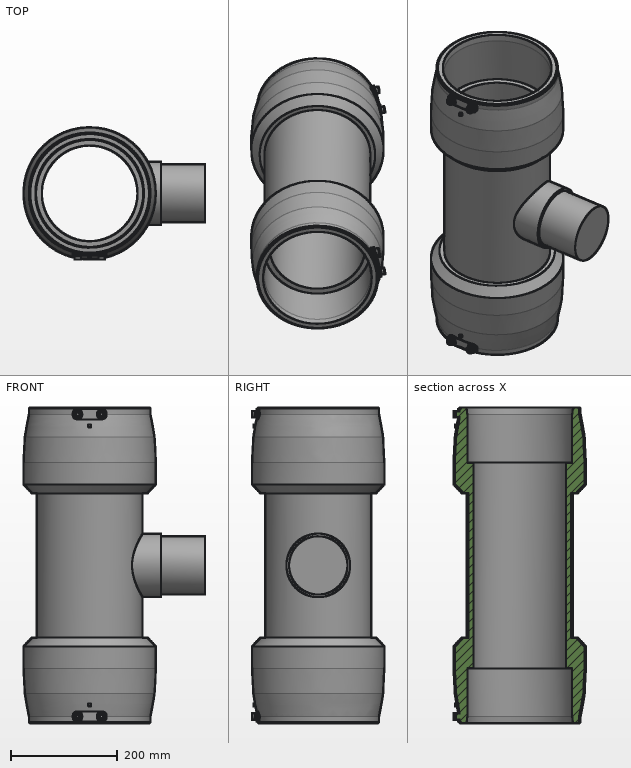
import cadquery as cq

total_height = 596.0
half_height = total_height / 2

pipe_radius = 100.0
pipe_bore_radius = 90.0

socket_max_radius = 125.0
mouth_radius = 114.8
rim_radius = 112.0
shoulder_radius = 122.6
neck_radius = 109.0
rim_chamfer_depth = 2.5
mouth_depth = 13.0
shoulder_depth = 56.0
curve_bulge = 0.25
barrel_start_depth = 104.0
barrel_end_depth = 145.0
socket_depth = 162.0

bore_mouth_radius = 102.6
bore_radius = 101.0
bore_taper_depth = 13.0
bore_depth = 104.0

collar_radius = 60.0
collar_end = 135.0
spigot_radius = 55.0
spigot_end = 217.6

terminal_depth = 13.0
terminal_spacing = 45.0
pad_radius = 9.5
pad_face = 116.8
recess_radius = 8.6
recess_floor = 114.0
neck_pin_radius = 5.75
head_radius = 6.25
head_start = 119.0
head_end = 124.75
head_hole_radius = 3.5
head_hole_depth = 4.0

indicator_depth = 35.0
indicator_radius = 3.0
indicator_end = 122.0

root_radius = 107.0


def arc_mid(start, end, sagitta):
    """Point halfway along a shallow arc, bulged outward in radius."""
    return ((start[0] + end[0]) / 2 + sagitta, (start[1] + end[1]) / 2)


def make_socket_body():
    """Outer shape of the upper socket, as a solid of revolution."""
    mouth = (mouth_radius, half_height - mouth_depth)
    shoulder = (shoulder_radius, half_height - shoulder_depth)
    barrel = (socket_max_radius, half_height - barrel_start_depth)
    return (
        cq.Workplane("XZ")
        .moveTo(0, half_height)
        .lineTo(rim_radius, half_height)
        .lineTo(mouth_radius, half_height - rim_chamfer_depth)
        .lineTo(*mouth)
        .threePointArc(arc_mid(mouth, shoulder, curve_bulge), shoulder)
        .threePointArc(arc_mid(shoulder, barrel, curve_bulge), barrel)
        .lineTo(socket_max_radius, half_height - barrel_end_depth)
        .lineTo(neck_radius, half_height - socket_depth)
        .lineTo(0, half_height - socket_depth)
        .close()
        .revolve(360, (0, 0), (0, 1))
    )


def make_socket_bore():
    """Tapered mouth and straight bore that receive the pipe end."""
    return (
        cq.Workplane("XZ")
        .moveTo(0, half_height)
        .lineTo(bore_mouth_radius, half_height)
        .lineTo(bore_radius, half_height - bore_taper_depth)
        .lineTo(bore_radius, half_height - bore_depth)
        .lineTo(0, half_height - bore_depth)
        .close()
        .revolve(360, (0, 0), (0, 1))
    )


def pin_along_minus_y(x, z, radius, start, end):
    """Round pin pointing toward -Y, between two distances from the Z axis."""
    return cq.Workplane("XZ", origin=(x, -start, z)).circle(radius).extrude(end - start)


def add_terminals(socket):
    """Add the flat pad with two recessed connector pins, and the indicator pin beside it."""
    z = half_height - terminal_depth
    pad = (
        cq.Workplane("XZ", origin=(0, -root_radius, z))
        .slot2D(terminal_spacing + 2 * pad_radius, 2 * pad_radius)
        .extrude(pad_face - root_radius)
    )
    socket = socket.union(pad)
    for x in (-terminal_spacing / 2, terminal_spacing / 2):
        recess = pin_along_minus_y(x, z, recess_radius, recess_floor, head_end)
        neck_pin = pin_along_minus_y(x, z, neck_pin_radius, root_radius, head_end)
        head = pin_along_minus_y(x, z, head_radius, head_start, head_end)
        head_hole = pin_along_minus_y(x, z, head_hole_radius, head_end - head_hole_depth, head_end)
        socket = socket.cut(recess).union(neck_pin).union(head).cut(head_hole)
    indicator_z = half_height - indicator_depth
    indicator = pin_along_minus_y(0, indicator_z, indicator_radius, root_radius, indicator_end)
    return socket.union(indicator)


def make_branch():
    """Collar and spigot leaving the main pipe toward +X."""
    collar = cq.Workplane("YZ").circle(collar_radius).extrude(collar_end)
    spigot = cq.Workplane("YZ").circle(spigot_radius).extrude(spigot_end)
    return collar.union(spigot)


upper_end = add_terminals(make_socket_body())
socket_bore = make_socket_bore()
pipe = cq.Workplane("XY").circle(pipe_radius).extrude(half_height - bore_depth, both=True)
pipe_bore = cq.Workplane("XY").circle(pipe_bore_radius).extrude(half_height, both=True)

result = (
    pipe.union(make_branch())
    .union(upper_end)
    .union(upper_end.mirror("XY"))
    .cut(socket_bore)
    .cut(socket_bore.mirror("XY"))
    .cut(pipe_bore)
)